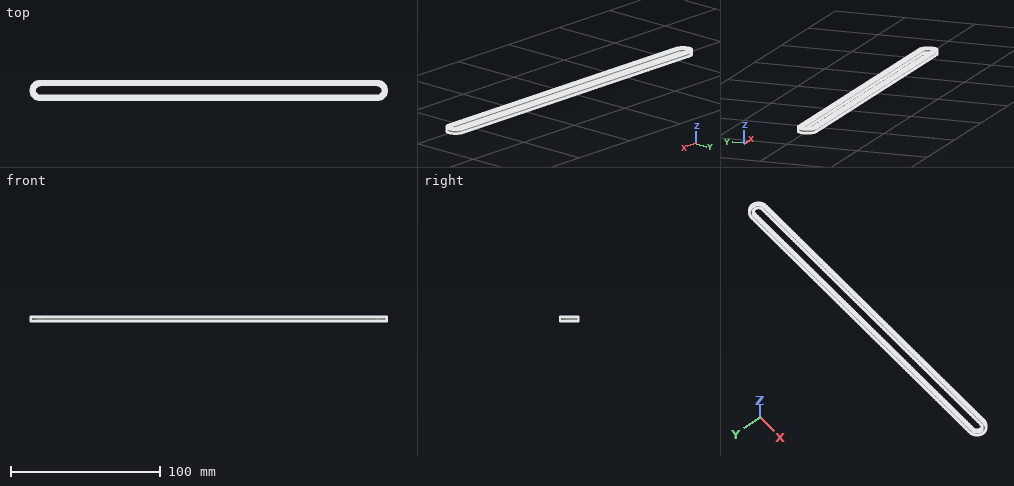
import cadquery as cq

length = 237.5
width = 12.5
height = 3.125

band_thickness = 2.75
edge_chamfer = 0.3
groove_width = 0.55
groove_depth = 0.3

groove_outer_inset = (band_thickness - groove_width) / 2
groove_inner_inset = groove_outer_inset + groove_width


def slot_prism(inset, bottom, top):
    """Round-ended prism whose outline lies `inset` inside the outer side of the band."""
    outline = cq.Workplane("XY").workplane(offset=bottom).slot2D(length - 2 * inset, width - 2 * inset)
    return outline.extrude(top - bottom)


def closed_loop(outer_inset, inner_inset, bottom, top):
    """Loop with straight sides and half-round ends, between two insets."""
    return slot_prism(outer_inset, bottom, top).cut(slot_prism(inner_inset, bottom, top))


def make_band():
    """Plain band, with the inner and outer edges of both flat faces chamfered."""
    band = closed_loop(0, band_thickness, -height / 2, height / 2)
    return band.faces("|Z").edges().chamfer(edge_chamfer)


def cut_top_groove(band):
    """Narrow groove running all the way round the middle of the top face."""
    groove = closed_loop(groove_outer_inset, groove_inner_inset, height / 2 - groove_depth, height / 2)
    return band.cut(groove)


result = cut_top_groove(make_band())